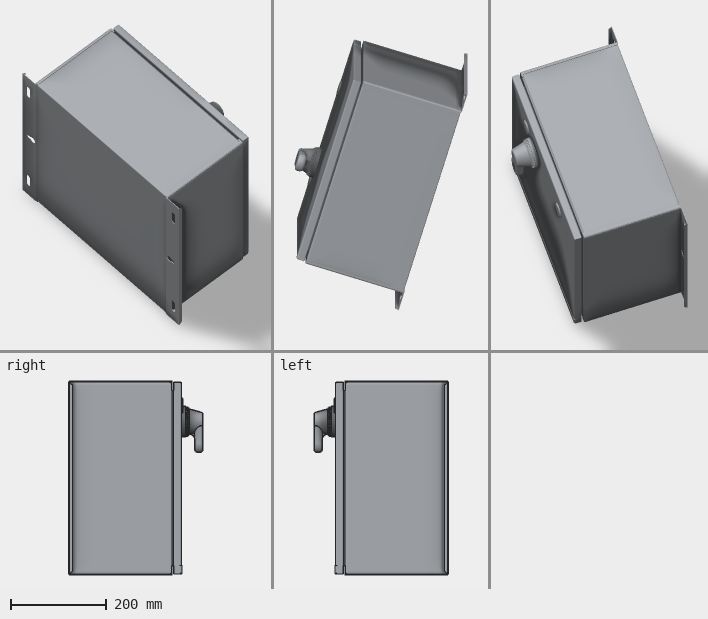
import cadquery as cq
import math

overall_width = 482.5
overall_height = 403.5
overall_depth = 279.5
sheet = 1.5
bend_radius = 3.5

body_width = 407.0
body_back = 2.0
body_front = 215.0
panel_height = 400.5
back_edge_radius = 2.5
lip_width = 6.8
panel_front_chamfer = 4.0
corner_tab_width = 12.0
corner_tab_depth = 3.5

pad_rise = 0.5
pad_border = 3.5
pad_height = 396.5
pad_back = 10.5

neck_width = 358.0
neck_height = 365.5

door_width = 400.5
door_height = panel_height
door_back = 219.0
door_front = 235.5
door_strip_height = 18.0
door_strip_rise = 1.0

flange_height = 400.5
flange_inner_x = 199.0
flange_foot_depth = 5.0
flange_lip_depth = 7.5
flange_lip_chamfer = flange_lip_depth - sheet
slot_x = 223.5
slot_z = 152.0
slot_length = 34.2
slot_width = 11.0
keyhole_x = 210.5
keyhole_diameter = 15.5
keyhole_slot_width = 8.0

plug_x = 101.5
plug_z = 151.0
plug_diameter = 31.5
plug_rise = 3.5
plug_chamfer = 2.0

handle_x = 57.5
handle_z = 117.5
base_radius = 32.5
ring_radius = 31.0
cone_bottom_radius = 26.5
cone_top_radius = 19.0
cone_edge_radius = 4.0
base_top = 243.5
ring_shoulder = 248.0
ring_top = 252.0
groove_count = 36
groove_width = 2.0
groove_depth = 2.0
lever_width = 36.5
lever_thickness = 17.5
lever_tip_z = 53.5
lever_front_radius = 6.0
lever_back_radius = 7.5
web_width = 9.5
web_radius = 10.5


def block(width, y_start, y_end, height, x=0.0, z=0.0):
    """Box centred on (x, z) that spans y_start to y_end."""
    depth = y_end - y_start
    return cq.Workplane("XY").box(width, depth, height).translate((x, (y_start + y_end) / 2, z))


def make_side_pad():
    """Raised face of the +X side, with a border sloping down to the side sheet."""
    border_angle = math.degrees(math.atan2(pad_border, pad_rise))
    pad_centre = (body_width / 2, (pad_back + body_front) / 2, 0)
    return (
        cq.Workplane("YZ", origin=pad_centre)
        .rect(body_front - pad_back, pad_height)
        .extrude(pad_rise, taper=border_angle)
    )


def make_body():
    panels = block(body_width, body_back, body_front, panel_height)
    panels = panels.faces("<Y").edges("|X").fillet(back_edge_radius)
    body = panels.faces(">Y").edges("|X").chamfer(panel_front_chamfer)
    for side in (-1, 1):
        lip_x = side * (body_width - lip_width) / 2
        outer_face = ">X" if side > 0 else "<X"
        lip = block(lip_width, body_back, body_front, overall_height, lip_x)
        lip = lip.faces(outer_face).edges("|Y").fillet(bend_radius)
        tab_x = side * (body_width - corner_tab_width) / 2
        tabs = block(corner_tab_width, body_front - corner_tab_depth, body_front, overall_height, tab_x)
        tabs = tabs.faces(outer_face).edges("|Y").fillet(bend_radius)
        body = body.union(lip).union(tabs)
    pad = make_side_pad()
    body = body.union(pad).union(pad.mirror("YZ"))
    neck = block(neck_width, body_front, door_back, neck_height)
    return body.union(neck)


def make_door():
    door = block(door_width, door_back, door_front, door_height)
    door = door.faces(">Y").edges().fillet(bend_radius)
    door = door.faces("<Y").edges().fillet(bend_radius / 2)
    strip_z = (door_strip_height - door_height) / 2
    strip_front = door_front + door_strip_rise
    strip = block(door_width, door_front - bend_radius, strip_front, door_strip_height, z=strip_z)
    strip = strip.edges("|X and >Y and <Z").fillet(bend_radius)
    strip = strip.edges("|Z and >Y").fillet(bend_radius)
    return door.union(strip)


def make_flange():
    """Right-hand mounting flange with an outer stiffening lip."""
    outer_x = overall_width / 2
    plate_inner_x = flange_inner_x + bend_radius
    plate_width = outer_x - plate_inner_x
    plate = block(plate_width, 0, sheet, flange_height, outer_x - plate_width / 2)
    lip = block(sheet, 0, flange_lip_depth, flange_height, outer_x - sheet / 2)
    lip = lip.faces(">Y").edges("|X").chamfer(flange_lip_chamfer)
    foot_width = body_width / 2 - flange_inner_x
    foot = block(foot_width, 0, flange_foot_depth, flange_height, flange_inner_x + foot_width / 2)
    foot = foot.edges("<X and <Y").fillet(bend_radius)
    flange = plate.union(lip).union(foot)
    cutter_plane = cq.Workplane("XZ", origin=(0, sheet, 0))
    slots = (
        cutter_plane.pushPoints([(slot_x, slot_z), (slot_x, -slot_z)])
        .slot2D(slot_length, slot_width, 90)
        .extrude(sheet)
    )
    round_end = cutter_plane.center(keyhole_x, 0).circle(keyhole_diameter / 2).extrude(sheet)
    narrow_length = slot_x - keyhole_x + keyhole_slot_width
    narrow_end = (
        cutter_plane.center((slot_x + keyhole_x) / 2, 0)
        .slot2D(narrow_length, keyhole_slot_width)
        .extrude(sheet)
    )
    return flange.cut(slots).cut(round_end).cut(narrow_end)


def make_plug(x):
    plane = cq.Workplane("XZ", origin=(x, door_front, plug_z))
    return plane.circle(plug_diameter / 2).extrude(-plug_rise).faces(">Y").chamfer(plug_chamfer)


def make_handle():
    profile = [
        (0, door_front),
        (base_radius, door_front),
        (base_radius, base_top),
        (ring_radius, base_top),
        (ring_radius, ring_shoulder),
        (cone_bottom_radius, ring_top),
        (cone_top_radius, overall_depth),
        (0, overall_depth),
    ]
    knob = cq.Workplane("XY").polyline(profile).close().revolve(360, (0, 0, 0), (0, 1, 0))
    knob = knob.faces(">Y").edges().fillet(cone_edge_radius)
    grooves = (
        cq.Workplane("XZ", origin=(0, base_top, 0))
        .polarArray(ring_radius, 0, 360, groove_count)
        .rect(2 * groove_depth, groove_width)
        .extrude(base_top - ring_top)
    )
    knob = knob.cut(grooves)
    tip_drop = handle_z - lever_tip_z
    half_width = lever_width / 2
    lever_back = overall_depth - lever_thickness
    lever = (
        cq.Workplane("XZ", origin=(0, overall_depth, 0))
        .moveTo(-half_width, 0)
        .lineTo(-half_width, half_width - tip_drop)
        .threePointArc((0, -tip_drop), (half_width, half_width - tip_drop))
        .lineTo(half_width, 0)
        .close()
        .extrude(lever_thickness)
    )
    lever = lever.faces(">Y").edges("not >Z").fillet(lever_front_radius)
    lever = lever.faces("<Y").edges("not >Z").fillet(lever_back_radius)
    web_drop = cone_bottom_radius + web_radius
    web = (
        cq.Workplane("YZ", origin=(-web_width / 2, 0, 0))
        .moveTo(lever_back + lever_thickness / 2, 0)
        .lineTo(ring_top, 0)
        .lineTo(ring_top, -cone_bottom_radius)
        .radiusArc((lever_back, -web_drop), web_radius)
        .lineTo(lever_back + lever_thickness / 2, -web_drop)
        .close()
        .extrude(web_width)
    )
    return knob.union(lever).union(web).translate((handle_x, 0, handle_z))


flange = make_flange()
result = make_body().union(make_door())
result = result.union(flange).union(flange.mirror("YZ"))
for side in (-1, 1):
    result = result.union(make_plug(side * plug_x))
result = result.union(make_handle())